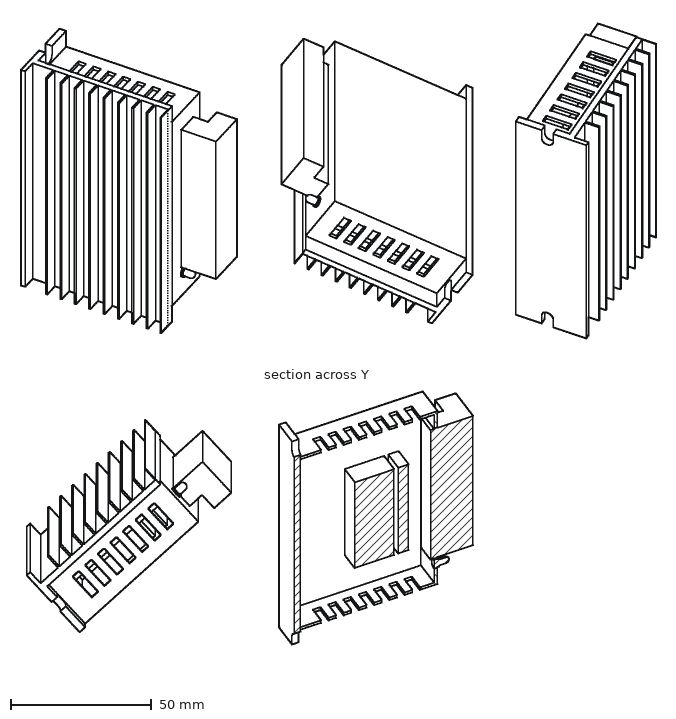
import cadquery as cq


sink_length = 96.0
sink_width = 57.1
housing_top_y = 27.8
base_bottom_y = 5.5
base_top_y = 7.9
plate_thickness = 2.7
foot_thickness = 1.7
fin_thickness = 0.7
edge_fin_thickness = 0.3
fin_pitch = 5.9
fin_count = 8
first_fin_x = 10.1
notch_width = 4.5
notch_depth = 6.2
notch_y = 15.4

cover_end_gap = 7.0
wall = 1.4
slot_width = 3.0
slot_pitch = 6.0
slot_count = 7
first_slot_x = 12.3
slot_bottom_y = 12.4
slot_top_y = 22.5

board_thickness = 1.7
board_top_y = 14.6
board_end_gap = 2.9
terminal_low_z = 19.8
terminal_high_z = 81.0
terminal_end_x = 71.2
terminal_step_x = 63.0
terminal_step_y = 23.3
terminal_top_y = 29.8
lamp_z = 17.0
lamp_diameter = 3.0
lamp_flange_diameter = 3.9
lamp_flange_end_x = 57.8
lamp_tip_x = 61.8
component_top_y = 24.0
component_end_gap = 19.2
component_spans = [(24.2, 39.8), (41.5, 45.6)]

cover_low_z = cover_end_gap
cover_high_z = sink_length - cover_end_gap
inner_low_z = cover_low_z + wall
inner_high_z = cover_high_z - wall
inner_end_x = sink_width - wall
lamp_radius = lamp_diameter / 2
lamp_y = board_top_y + lamp_radius


def block(x0, x1, y0, y1, z0, z1):
    """Box between two opposite corners."""
    return cq.Workplane("XY").box(x1 - x0, y1 - y0, z1 - z0, centered=False).translate((x0, y0, z0))


def rod_along_x(x0, x1, diameter):
    """Cylinder on the lamp axis."""
    return cq.Workplane("YZ", origin=(x0, lamp_y, lamp_z)).circle(diameter / 2).extrude(x1 - x0)


def mounting_notch(end_z, inward):
    """Round-bottomed notch cut into one end of the mounting plate; inward is +1 or -1 along Z."""
    radius = notch_width / 2
    centre_z = end_z + inward * (notch_depth - radius)
    straight = block(
        0, plate_thickness,
        notch_y - radius, notch_y + radius,
        min(end_z, centre_z), max(end_z, centre_z),
    )
    round_end = cq.Workplane("YZ", origin=(0, notch_y, centre_z)).circle(radius).extrude(plate_thickness)
    return straight.union(round_end)


def make_heat_sink():
    body = block(0, sink_width, base_bottom_y, base_top_y, 0, sink_length)
    body = body.union(block(0, plate_thickness, base_bottom_y, housing_top_y, 0, sink_length))
    body = body.union(block(0, foot_thickness, 0, base_top_y, 0, sink_length))
    for i in range(fin_count):
        x = first_fin_x + i * fin_pitch
        body = body.union(block(x, x + fin_thickness, 0, base_top_y, 0, sink_length))
    body = body.union(block(sink_width - edge_fin_thickness, sink_width, 0, base_top_y, 0, sink_length))
    return body.cut(mounting_notch(0, 1)).cut(mounting_notch(sink_length, -1))


def make_cover():
    body = block(plate_thickness, sink_width, base_top_y, housing_top_y, cover_low_z, cover_high_z)
    body = body.cut(
        block(plate_thickness, inner_end_x, base_top_y, housing_top_y - wall, inner_low_z, inner_high_z)
    )
    for i in range(slot_count):
        x = first_slot_x + i * slot_pitch
        body = body.cut(
            block(x - slot_width / 2, x + slot_width / 2, slot_bottom_y, slot_top_y, cover_low_z, cover_high_z)
        )
    body = body.cut(
        block(inner_end_x, sink_width, board_top_y, terminal_step_y, terminal_low_z, terminal_high_z)
    )
    return body.cut(rod_along_x(inner_end_x, sink_width, lamp_flange_diameter))


def make_lamp():
    flange = rod_along_x(inner_end_x, lamp_flange_end_x, lamp_flange_diameter)
    dome_x = lamp_tip_x - lamp_radius
    stem = rod_along_x(inner_end_x, dome_x, lamp_diameter)
    dome = cq.Workplane("XY").sphere(lamp_radius).translate((dome_x, lamp_y, lamp_z))
    return flange.union(stem).union(dome)


def make_circuit_board():
    body = block(
        plate_thickness, inner_end_x,
        board_top_y - board_thickness, board_top_y,
        inner_low_z + board_end_gap, inner_high_z - board_end_gap,
    )
    lower_part = block(
        inner_end_x - wall, terminal_end_x, board_top_y, terminal_step_y, terminal_low_z, terminal_high_z
    )
    upper_part = block(
        terminal_step_x, terminal_end_x, terminal_step_y, terminal_top_y, terminal_low_z, terminal_high_z
    )
    body = body.union(lower_part).union(upper_part)
    for x0, x1 in component_spans:
        body = body.union(
            block(
                x0, x1, board_top_y, component_top_y,
                inner_low_z + component_end_gap, inner_high_z - component_end_gap,
            )
        )
    return body.union(make_lamp())


heat_sink = make_heat_sink().solids().val()
cover = make_cover().solids().val()
circuit_board = make_circuit_board().solids().val()

result = cq.Compound.makeCompound([heat_sink, cover, circuit_board])